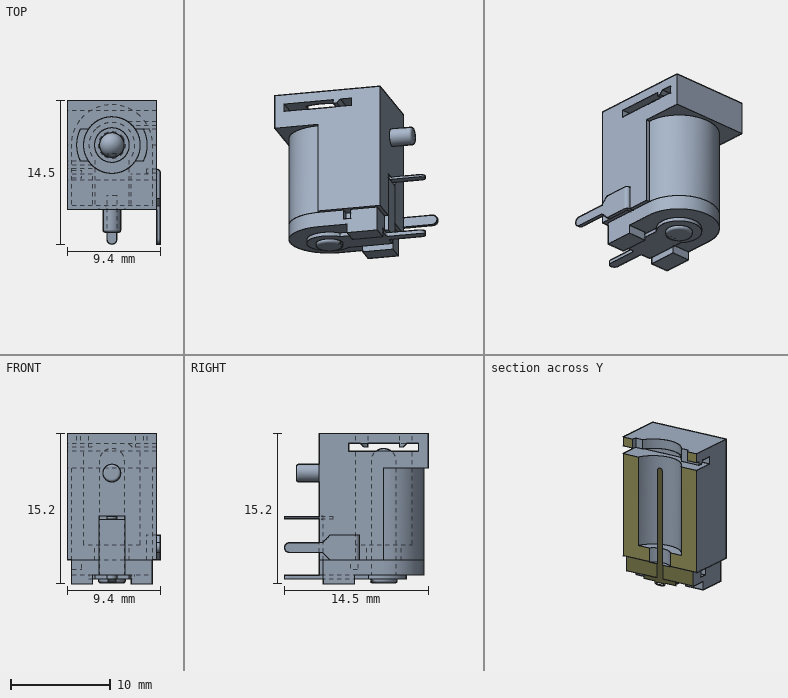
import cadquery as cq


HOUSING_WIDTH = 9.0
HOUSING_HEIGHT = 12.75
FRONT_Y = -6.5
REAR_Y = 4.5
HEAD_HEIGHT = 3.5
SIDE_X = HOUSING_WIDTH / 2
INSET = 0.41
BODY_RADIUS = SIDE_X - INSET

BORE_RADIUS = 2.85
BORE_FLOOR = 1.5
PIN_CLEARANCE_RADIUS = 1.75
LOCK_RADIUS = 3.55
LOCK_WIDTH = 3.19
SLOT_DEPTH = 1.0
SLOT_HEIGHT = 0.78
SLOT_LENGTH = 7.0
TOOTH_HEIGHT = 0.36
TOOTH_FLAT = 0.4

PEG_RADIUS = 0.9
PEG_LENGTH = 2.3
PEG_FILLET = 0.25
PEG_DEPTH = 4.0

BASE_THICKNESS = 1.54
FOOT_HEIGHT = 0.91
FOOT_LENGTH = 3.16
FOOT_GAP = 3.89
BASE_FRONT_Y = FRONT_Y + INSET
TONGUE_WIDTH = 2.63
TONGUE_HEIGHT = 4.06
TONGUE_GAP = 0.4
WINDOW_WIDTH = 0.75
WINDOW_HEIGHT = 0.95
WINDOW_DEPTH = 1.0
WINDOW_REAR_Y = -2.58

LEG_LENGTH = 3.5
LEG_WIDTH = 1.0
LEG_TIP_Y = FRONT_Y - LEG_LENGTH
SHEET = 0.4
ANCHOR_DEPTH = 1.0

PIN_RADIUS = 1.25
PIN_TIP_DEPTH = 1.5
PLATE_RADIUS = 2.3
PLATE_NECK_WIDTH = 3.4
PLATE_FILLET = 0.25
RIVET_RADIUS = 1.35
RIVET_HEIGHT = 0.4
RIVET_FILLET = 0.25
NOTCH_WIDTH = 0.82
NOTCH_LENGTH = 0.49
NOTCH_HEIGHT = 0.29

SPRING_THICKNESS = 0.25

BLADE_HEIGHT = 2.5
BLADE_REAR_Y = -2.43
SHOULDER = 0.75
SHOULDER_REAR_Y = -5.41


def block(x_min, x_max, y_min, y_max, z_min, z_max):
    return cq.Workplane("XY").box(
        x_max - x_min, y_max - y_min, z_max - z_min, centered=False
    ).translate((x_min, y_min, z_min))


def cylinder(radius, z_min, z_max):
    return cq.Workplane("XY").workplane(offset=z_min).circle(radius).extrude(z_max - z_min)


def flat_leg(root_y, z_min, thickness):
    """Horizontal terminal leg with a round tip, running forward from root_y."""
    half = LEG_WIDTH / 2
    return (
        cq.Workplane("XY")
        .workplane(offset=z_min)
        .moveTo(-half, root_y)
        .lineTo(-half, LEG_TIP_Y + half)
        .threePointArc((0, LEG_TIP_Y), (half, LEG_TIP_Y + half))
        .lineTo(half, root_y)
        .close()
        .extrude(thickness)
    )


def lock_tooth():
    """Stop under the slot roof, beside the -X bayonet notch, with a 45 degree lead-in."""
    roof_z = HOUSING_HEIGHT - SLOT_DEPTH
    notch_y = -LOCK_WIDTH / 2
    tooth = (
        cq.Workplane("YZ")
        .workplane(offset=-SIDE_X)
        .moveTo(notch_y, roof_z)
        .lineTo(notch_y, roof_z - TOOTH_HEIGHT)
        .lineTo(notch_y - TOOTH_FLAT, roof_z - TOOTH_HEIGHT)
        .lineTo(notch_y - TOOTH_FLAT - TOOTH_HEIGHT, roof_z)
        .close()
        .extrude(SIDE_X)
    )
    return tooth.cut(cylinder(BORE_RADIUS, 0, HOUSING_HEIGHT))


def make_housing():
    body_top = HOUSING_HEIGHT - HEAD_HEIGHT
    slot_roof = HOUSING_HEIGHT - SLOT_DEPTH

    housing = block(-SIDE_X, SIDE_X, FRONT_Y, REAR_Y, body_top, HOUSING_HEIGHT)
    housing = housing.union(block(-SIDE_X, SIDE_X, FRONT_Y, 0, 0, body_top))
    housing = housing.union(cylinder(BODY_RADIUS, 0, body_top))

    housing = housing.cut(cylinder(BORE_RADIUS, BORE_FLOOR, HOUSING_HEIGHT))
    housing = housing.cut(cylinder(PIN_CLEARANCE_RADIUS, 0, BORE_FLOOR))

    half_lock = LOCK_WIDTH / 2
    notches = cylinder(LOCK_RADIUS, slot_roof, HOUSING_HEIGHT).intersect(
        block(-SIDE_X, SIDE_X, -half_lock, half_lock, slot_roof, HOUSING_HEIGHT)
    )
    half_slot = SLOT_LENGTH / 2
    slot = block(-SIDE_X, SIDE_X, -half_slot, half_slot, slot_roof - SLOT_HEIGHT, slot_roof)
    housing = housing.cut(notches).cut(slot)
    for angle in (0, 180):
        housing = housing.union(lock_tooth().rotate((0, 0, 0), (0, 0, 1), angle))

    half_tongue = TONGUE_WIDTH / 2
    recess = block(-half_tongue, half_tongue, FRONT_Y, BASE_FRONT_Y, 0, TONGUE_HEIGHT + TONGUE_GAP)
    housing = housing.cut(recess)

    peg = (
        cq.Workplane("XZ", origin=(0, FRONT_Y, HOUSING_HEIGHT - PEG_DEPTH))
        .circle(PEG_RADIUS)
        .extrude(PEG_LENGTH)
        .faces("<Y")
        .edges()
        .fillet(PEG_FILLET)
    )
    return housing.union(peg)


def make_base():
    base = block(-BODY_RADIUS, BODY_RADIUS, BASE_FRONT_Y, 0, -BASE_THICKNESS, 0)
    base = base.union(cylinder(BODY_RADIUS, -BASE_THICKNESS, 0))

    foot_rear = BASE_FRONT_Y + FOOT_LENGTH
    foot_bottom = -BASE_THICKNESS - FOOT_HEIGHT
    foot = block(FOOT_GAP / 2, BODY_RADIUS, BASE_FRONT_Y, foot_rear, foot_bottom, -BASE_THICKNESS)
    base = base.union(foot).union(foot.mirror("YZ"))

    half_tongue = TONGUE_WIDTH / 2
    base = base.union(
        block(-half_tongue, half_tongue, FRONT_Y, BASE_FRONT_Y, -BASE_THICKNESS, TONGUE_HEIGHT)
    )

    window = block(
        -BODY_RADIUS, WINDOW_DEPTH - BODY_RADIUS,
        WINDOW_REAR_Y - WINDOW_WIDTH, WINDOW_REAR_Y,
        -WINDOW_HEIGHT, 0,
    )
    return base.cut(window).cut(cylinder(PIN_RADIUS, -BASE_THICKNESS, 0))


def make_centre_contact():
    plate_bottom = -BASE_THICKNESS - SHEET
    rivet_bottom = plate_bottom - RIVET_HEIGHT
    pin_top = HOUSING_HEIGHT - PIN_TIP_DEPTH

    tip_centre = pin_top - PIN_RADIUS
    tip = cq.Workplane("XY").sphere(PIN_RADIUS).translate((0, 0, tip_centre))
    pin = cylinder(PIN_RADIUS, plate_bottom, tip_centre).union(tip)

    half_neck = PLATE_NECK_WIDTH / 2
    neck = block(-half_neck, half_neck, BASE_FRONT_Y, 0, plate_bottom, -BASE_THICKNESS)
    leg = flat_leg(0, plate_bottom, SHEET)
    plate = neck.union(leg)
    for corner_x in (-LEG_WIDTH / 2, LEG_WIDTH / 2):
        corner = (corner_x, BASE_FRONT_Y, plate_bottom + SHEET / 2)
        plate = plate.edges(cq.selectors.NearestToPointSelector(corner)).fillet(PLATE_FILLET)
    plate = plate.union(cylinder(PLATE_RADIUS, plate_bottom, -BASE_THICKNESS))

    rivet = cylinder(RIVET_RADIUS, rivet_bottom, plate_bottom).faces("<Z").edges().fillet(RIVET_FILLET)
    notch = (
        cq.Workplane("YZ")
        .moveTo(-RIVET_RADIUS, plate_bottom)
        .lineTo(-RIVET_RADIUS, plate_bottom - NOTCH_HEIGHT)
        .lineTo(NOTCH_LENGTH - RIVET_RADIUS, plate_bottom - NOTCH_HEIGHT)
        .close()
        .extrude(NOTCH_WIDTH / 2, both=True)
    )
    return pin.union(plate).union(rivet.cut(notch))


def make_spring_contact():
    leg_bottom = TONGUE_HEIGHT + (TONGUE_GAP - SPRING_THICKNESS) / 2
    return flat_leg(BASE_FRONT_Y + ANCHOR_DEPTH, leg_bottom, SPRING_THICKNESS)


def make_switch_contact():
    outer_x = SIDE_X + SHEET
    middle_z = BLADE_HEIGHT / 2
    half_leg = LEG_WIDTH / 2
    shoulder_front = SHOULDER_REAR_Y - SHOULDER

    blade = (
        cq.Workplane("YZ")
        .workplane(offset=SIDE_X)
        .moveTo(BLADE_REAR_Y, 0)
        .lineTo(SHOULDER_REAR_Y, 0)
        .lineTo(shoulder_front, middle_z - half_leg)
        .lineTo(LEG_TIP_Y + half_leg, middle_z - half_leg)
        .threePointArc((LEG_TIP_Y, middle_z), (LEG_TIP_Y + half_leg, middle_z + half_leg))
        .lineTo(shoulder_front, middle_z + half_leg)
        .lineTo(SHOULDER_REAR_Y, BLADE_HEIGHT)
        .lineTo(BLADE_REAR_Y, BLADE_HEIGHT)
        .close()
        .extrude(SHEET)
    )

    bend = cylinder(SHEET, 0, BLADE_HEIGHT).translate((SIDE_X, BLADE_REAR_Y - SHEET, 0))
    corner = block(SIDE_X, outer_x, BLADE_REAR_Y - SHEET, BLADE_REAR_Y, 0, BLADE_HEIGHT)
    blade = blade.cut(corner.cut(bend))
    anchor = block(
        SIDE_X - ANCHOR_DEPTH, SIDE_X, BLADE_REAR_Y - SHEET, BLADE_REAR_Y, 0, BLADE_HEIGHT
    )
    return blade.union(anchor)


centre_contact = make_centre_contact()
spring_contact = make_spring_contact()
switch_contact = make_switch_contact()
base = make_base()
housing = make_housing().cut(spring_contact).cut(switch_contact)

result = cq.Compound.makeCompound(
    [housing.val(), base.val(), centre_contact.val(), spring_contact.val(), switch_contact.val()]
)